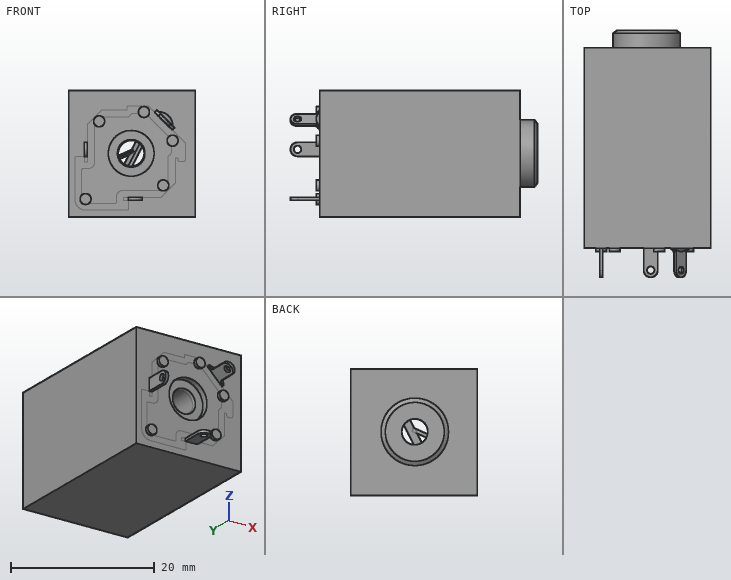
import cadquery as cq
import math


BLOCK_SIZE = 17.74
BLOCK_DEPTH = 28.0
BLOCK_CENTER_X = 0.11
BLOCK_CENTER_Z = -0.05

BUSHING_RADIUS = 4.72
BUSHING_LENGTH = 2.45
BUSHING_CHAMFER_LENGTH = 0.45
BUSHING_CHAMFER_INSET = 0.6

BORE_RADIUS = 1.8
BORE_MOUTH_RADIUS = 1.93
BORE_MOUTH_DEPTH = 0.5
COUNTERBORE_RADIUS = 3.2
COUNTERBORE_DEPTH = 1.0

SPRING_THICKNESS = 1.0
SPRING_BEVEL_SHARE = 0.55
SPRING_DEPTH = BLOCK_DEPTH / 2
SPRINGS = [
    ((1.4, 1.9), (-0.55, -1.9), 1.15),
    ((-2.0, -0.7), (0.3, 0.35), 0.55),
]

INLAY_DEPTH = 1.5
HOUSING_HALF = 6.12
HOUSING_CHAMFER = 2.0
HOUSING_FOOT = 7.9
FOOT_TOP = -0.42
FOOT_ROUNDING = 1.5
RAISED_TOP = 6.65
RAISED_LEFT = -0.65
DIAGONAL_SUM = 9.02
HOOK_RIGHT = 7.54
HOOK_BOTTOM = -1.12
HOOK_INNER_X = 6.52
HOOK_INNER_Z = -0.61
HOOK_ROUNDING = 0.35
SMALL_ROUNDING = 0.2

COVER_HALF = 5.14
COVER_FOOT = 6.96
COVER_STEP = -2.1
COVER_STEP_ROUNDING = 0.9
COVER_RAISED = 5.6
COVER_RAISED_START = -0.4
COVER_DIAGONAL_SUM = 7.58

PIN_RADIUS = 0.77
PIN_HEIGHT = 0.5
PIN_POSITIONS = [(-4.48, 4.48), (4.48, -4.48), (1.78, 5.78), (5.78, 1.78), (-6.38, -6.38)]

TERMINAL_LENGTH = 4.1
TERMINAL_WIDTH = 2.0
TERMINAL_THICKNESS = 0.45
TERMINAL_HOLE_RADIUS = 0.5
TERMINAL_OFFSET = 0.56
ROOT_WIDTH = 2.7
DIAGONAL_ROOT_WIDTH = 3.5
DIAGONAL_ROOT_HEIGHT = PIN_HEIGHT

RIVET_RADIUS = 2.2
RIVET_HEIGHT = 1.2
RIVET_DEPTH = 1.7


def plane_at(y):
    """Sketch plane with X right and Z up, extruding toward +Y, at the given Y."""
    return cq.Plane(origin=(0, y, 0), xDir=(-1, 0, 0), normal=(0, 1, 0))


def prism(points, y_start, length):
    """Prism over (X, Z) points, running toward +Y from y_start."""
    sketch = [(-x, z) for x, z in points]
    return cq.Workplane(plane_at(y_start)).polyline(sketch).close().extrude(length)


def disc(center, radius, y_start, length):
    """Cylinder along Y, centred on an (X, Z) point."""
    x, z = center
    return cq.Workplane(plane_at(y_start)).center(-x, z).circle(radius).extrude(length)


def round_corners(solid, corners, radius):
    """Round the Y-parallel edges of a prism that pass through the (X, Z) corners."""
    for x, z in corners:
        probe = cq.selectors.NearestToPointSelector((x, INLAY_DEPTH / 2, z))
        solid = solid.edges("|Y").edges(probe).fillet(radius)
    return solid


def make_block():
    block = cq.Workplane("XY").box(BLOCK_SIZE, BLOCK_DEPTH, BLOCK_SIZE)
    block = block.translate((BLOCK_CENTER_X, BLOCK_DEPTH / 2, BLOCK_CENTER_Z))
    bushing = disc((0, 0), BUSHING_RADIUS, BLOCK_DEPTH, BUSHING_LENGTH)
    tip = bushing.faces(">Y")
    return block.union(tip.chamfer(BUSHING_CHAMFER_LENGTH, BUSHING_CHAMFER_INSET))


def make_housing():
    shoulder = HOUSING_HALF - HOUSING_CHAMFER
    foot_corner = (-HOUSING_FOOT, -HOUSING_FOOT)
    foot_tips = [(-HOUSING_FOOT, FOOT_TOP), (FOOT_TOP, -HOUSING_FOOT)]
    raised_corner = (RAISED_LEFT, RAISED_TOP)
    hook_tips = [(HOOK_RIGHT, HOOK_BOTTOM), (HOOK_INNER_X, HOOK_BOTTOM)]
    points = [
        (-HOUSING_HALF, shoulder),
        (-shoulder, HOUSING_HALF),
        (RAISED_LEFT, HOUSING_HALF),
        raised_corner,
        (DIAGONAL_SUM - RAISED_TOP, RAISED_TOP),
        (HOOK_RIGHT, DIAGONAL_SUM - HOOK_RIGHT),
        *hook_tips,
        (HOOK_INNER_X, HOOK_INNER_Z),
        (HOUSING_HALF, HOOK_INNER_Z),
        (HOUSING_HALF, -shoulder),
        (shoulder, -HOUSING_HALF),
        (FOOT_TOP, -HOUSING_HALF),
        foot_tips[1],
        foot_corner,
        foot_tips[0],
        (-HOUSING_HALF, FOOT_TOP),
    ]
    housing = prism(points, 0, INLAY_DEPTH)
    housing = round_corners(housing, [foot_corner], FOOT_ROUNDING)
    housing = round_corners(housing, hook_tips[:1], HOOK_ROUNDING)
    return round_corners(housing, foot_tips + [raised_corner, hook_tips[1]], SMALL_ROUNDING)


def make_cover():
    ramp_end = COVER_RAISED_START + COVER_RAISED - COVER_HALF
    step_corner = (-COVER_HALF, COVER_STEP)
    foot_tip = (-COVER_FOOT, COVER_STEP)
    upper_half = [
        (-COVER_FOOT, -COVER_FOOT),
        foot_tip,
        step_corner,
        (-COVER_HALF, COVER_HALF),
        (COVER_RAISED_START, COVER_HALF),
        (ramp_end, COVER_RAISED),
        (COVER_DIAGONAL_SUM - COVER_RAISED, COVER_RAISED),
    ]
    lower_half = [(z, x) for x, z in reversed(upper_half[1:])]
    cover = prism(upper_half + lower_half, 0, INLAY_DEPTH)
    cover = round_corners(cover, [step_corner, step_corner[::-1]], COVER_STEP_ROUNDING)
    return round_corners(cover, [foot_tip, foot_tip[::-1]], SMALL_ROUNDING)


def make_root_plates():
    """Flush root plates of the left and bottom terminals, mirrored about X = Z."""
    high = TERMINAL_OFFSET + TERMINAL_WIDTH / 2
    low = high - ROOT_WIDTH
    inner = -HOUSING_HALF
    outer = inner - TERMINAL_THICKNESS
    left = [(outer, low), (outer, high), (inner, high), (inner, low)]
    bottom = [(z, x) for x, z in left]
    return [prism(left, 0, INLAY_DEPTH), prism(bottom, 0, INLAY_DEPTH)]


def make_terminal():
    """Flat solder lug along -Y in the XY plane, with its upper face at Z = 0."""
    half = TERMINAL_WIDTH / 2
    tip_y = -(TERMINAL_LENGTH - half)
    lug = (
        cq.Workplane("XY")
        .moveTo(-half, INLAY_DEPTH)
        .lineTo(-half, tip_y)
        .threePointArc((0, -TERMINAL_LENGTH), (half, tip_y))
        .lineTo(half, INLAY_DEPTH)
        .close()
        .extrude(-TERMINAL_THICKNESS)
    )
    hole = cq.Workplane("XY").center(0, tip_y).circle(TERMINAL_HOLE_RADIUS).extrude(-TERMINAL_THICKNESS)
    return lug.cut(hole)


def place_around_bore(solid, angle, distance, offset):
    """Move a lug out to the given distance below the bore, then turn it about the bore axis."""
    moved = solid.translate((offset, 0, -distance))
    return moved.rotate((0, 0, 0), (0, 1, 0), angle)


def make_diagonal_terminal():
    """Lug with a tapered root and a domed rivet head on its outer face."""
    root_half = DIAGONAL_ROOT_WIDTH / 2
    half = TERMINAL_WIDTH / 2
    root = (
        cq.Workplane("XY")
        .polyline([
            (-root_half, INLAY_DEPTH),
            (-root_half, 0),
            (-half, -DIAGONAL_ROOT_HEIGHT),
            (half, -DIAGONAL_ROOT_HEIGHT),
            (root_half, 0),
            (root_half, INLAY_DEPTH),
        ])
        .close()
        .extrude(-TERMINAL_THICKNESS)
    )
    sphere_radius = (RIVET_RADIUS**2 + RIVET_HEIGHT**2) / (2 * RIVET_HEIGHT)
    sphere_z = sphere_radius - RIVET_HEIGHT - TERMINAL_THICKNESS
    sphere = cq.Workplane("XY").sphere(sphere_radius).translate((0, RIVET_DEPTH, sphere_z))
    head_zone = (
        cq.Workplane("XY", origin=(0, RIVET_DEPTH, -TERMINAL_THICKNESS))
        .circle(RIVET_RADIUS)
        .extrude(-RIVET_HEIGHT)
    )
    return make_terminal().union(root).union(sphere.intersect(head_zone))


def make_terminals():
    lug = make_terminal()
    return [
        place_around_bore(lug, 0, HOUSING_HALF, TERMINAL_OFFSET),
        place_around_bore(lug, 90, HOUSING_HALF, -TERMINAL_OFFSET),
        place_around_bore(make_diagonal_terminal(), 225, DIAGONAL_SUM / math.sqrt(2), 0),
    ]


def make_bore():
    total_depth = BLOCK_DEPTH + BUSHING_LENGTH
    bore = disc((0, 0), BORE_RADIUS, 0, total_depth)
    counterbore = disc((0, 0), COUNTERBORE_RADIUS, 0, COUNTERBORE_DEPTH)
    mouth = (
        cq.Workplane(plane_at(COUNTERBORE_DEPTH))
        .circle(BORE_MOUTH_RADIUS)
        .workplane(offset=BORE_MOUTH_DEPTH)
        .circle(BORE_RADIUS)
        .loft()
    )
    return bore.union(counterbore).union(mouth)


def make_spring(start, end, width):
    """Strip across the bore, anchored in its wall, with one long side beveled toward -Y."""
    (x1, z1), (x2, z2) = start, end
    along = cq.Vector(x2 - x1, 0, z2 - z1)
    section_plane = cq.Plane(origin=(x1, SPRING_DEPTH, z1), xDir=(0, 1, 0), normal=along)
    half = width / 2
    section = [
        (0, half),
        (SPRING_THICKNESS, half),
        (SPRING_THICKNESS, -half),
        (0, SPRING_BEVEL_SHARE * width - half),
    ]
    return cq.Workplane(section_plane).polyline(section).close().extrude(along.Length)


result = make_block()
for inlay in [make_housing(), make_cover(), *make_root_plates()]:
    result = result.cut(inlay, clean=False).union(inlay, clean=False)

result = result.cut(make_bore(), clean=False)
for spring_start, spring_end, spring_width in SPRINGS:
    result = result.union(make_spring(spring_start, spring_end, spring_width), clean=False)

for terminal in make_terminals():
    result = result.union(terminal, clean=False)
for pin_center in PIN_POSITIONS:
    pin = disc(pin_center, PIN_RADIUS, -PIN_HEIGHT, PIN_HEIGHT + INLAY_DEPTH)
    result = result.union(pin, clean=False)